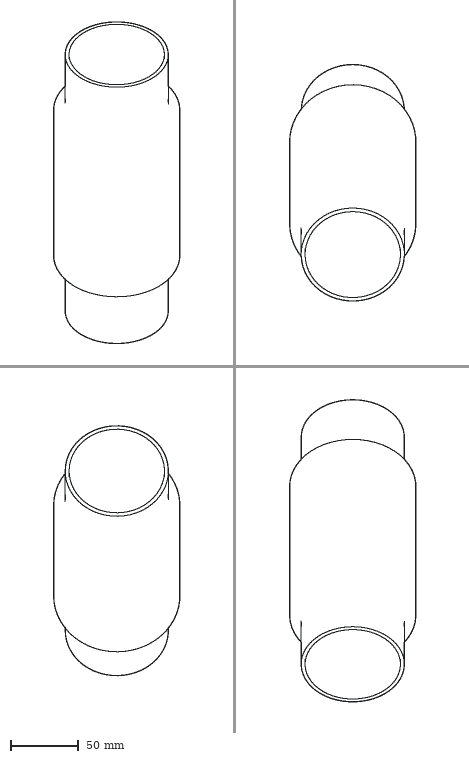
import cadquery as cq

length = 244.0
sleeve_diameter = 93.2
pipe_diameter = 76.1
wall = 3.0
end_length = 50.0
shoulder_radius = 3.0

bore_diameter = pipe_diameter - 2 * wall
sleeve_length = length - 2 * end_length


def centered_cylinder(diameter, height):
    """Solid cylinder on the Z axis, centered at the origin."""
    return cq.Workplane("XY").cylinder(height, diameter / 2)


sleeve = centered_cylinder(sleeve_diameter, sleeve_length)
pipe = centered_cylinder(pipe_diameter, length)
body = sleeve.union(pipe)

half_sleeve = sleeve_length / 2
shoulder_band = cq.selectors.BoxSelector(
    (-sleeve_diameter, -sleeve_diameter, -half_sleeve - shoulder_radius),
    (sleeve_diameter, sleeve_diameter, half_sleeve + shoulder_radius),
)
body = body.edges("%CIRCLE").edges(shoulder_band).fillet(shoulder_radius)

result = body.cut(centered_cylinder(bore_diameter, length))